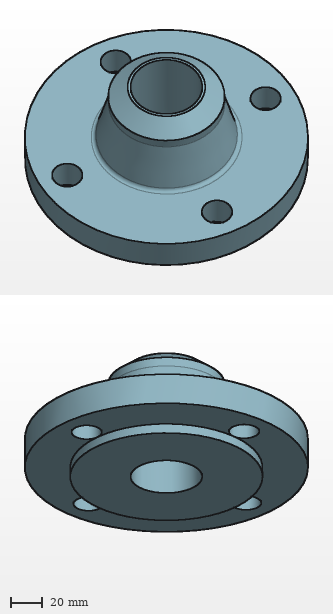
import cadquery as cq

flange_diameter = 177.8
flange_thickness = 20.5

face_diameter = 120.7
face_height = 6.4

total_height = 74.7
hub_base_diameter = 90.0
hub_root_fillet = 3.0
neck_diameter = 73.0
neck_height = 5.9
bevel_height = 9.2
weld_end_diameter = 48.7
bore_diameter = 45.0

bolt_count = 4
bolt_circle_diameter = 139.7
bolt_hole_diameter = 19.0

flange_top = face_height + flange_thickness
neck_top = total_height - bevel_height
neck_bottom = neck_top - neck_height


def disc(diameter, bottom, height):
    """Solid cylinder on the Z axis."""
    return cq.Workplane("XY").workplane(offset=bottom).circle(diameter / 2).extrude(height)


def hub():
    """Cone, short cylindrical neck and weld bevel, revolved about Z from the plate top."""
    profile = [
        (0, flange_top),
        (hub_base_diameter / 2, flange_top),
        (neck_diameter / 2, neck_bottom),
        (neck_diameter / 2, neck_top),
        (weld_end_diameter / 2, total_height),
        (0, total_height),
    ]
    return cq.Workplane("XZ").polyline(profile).close().revolve(360, (0, 0), (0, 1))


def bolt_holes():
    """Cutters for the through holes, the first one on +X."""
    return (
        cq.Workplane("XY")
        .polarArray(bolt_circle_diameter / 2, 0, 360, bolt_count)
        .circle(bolt_hole_diameter / 2)
        .extrude(total_height)
    )


def round_hub_root(solid):
    """Fillet the inner of the two circles lying in the plate's top plane."""
    reach = hub_root_fillet / 2
    plate_top_circles = cq.selectors.BoxSelector(
        (-reach, -reach, flange_top - reach),
        (reach, reach, flange_top + reach),
    )
    smallest_circle = cq.selectors.RadiusNthSelector(0)
    return solid.edges(plate_top_circles).edges(smallest_circle).fillet(hub_root_fillet)


raised_face = disc(face_diameter, 0, face_height)
plate = disc(flange_diameter, face_height, flange_thickness)
bore = disc(bore_diameter, 0, total_height)

body = round_hub_root(raised_face.union(plate).union(hub()))
result = body.cut(bore).cut(bolt_holes())